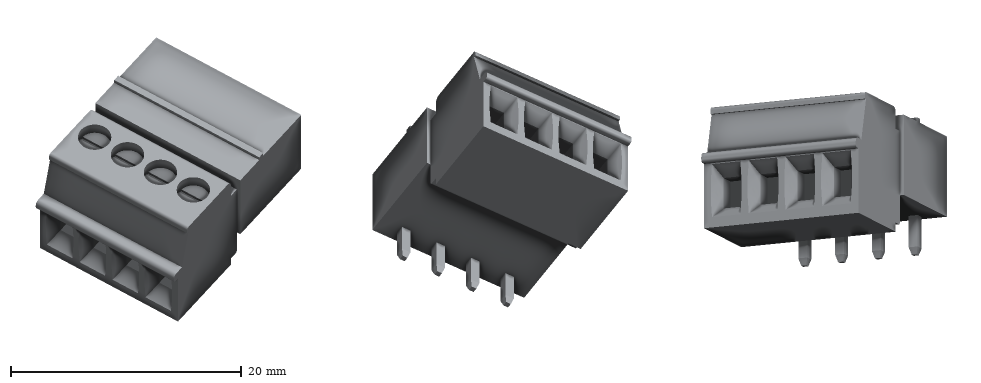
import cadquery as cq


OVERALL_LENGTH = 18.7

POLE_COUNT = 4
POLE_PITCH = 3.5

HEADER_WIDTH = 15.4
HEADER_LENGTH = 9.2
HEADER_BOTTOM = 3.45
HEADER_TOP = 10.6
RIB_FRONT = 2.86
RIB_LENGTH = 0.6
RIB_HEIGHT = 0.35

PIN_SIDE = 0.86
PIN_TIP_SIDE = 0.47
PIN_TIP_LENGTH = 0.64
PIN_SETBACK = 7.98
PIN_ROOT = 0.94

PLUG_WIDTH = 14.68
PLUG_HEIGHT = 11.1
NECK_LENGTH = 0.92
NECK_BOTTOM = 0.8
NECK_TOP = 9.16
NECK_RADIUS = 0.26
TOP_REAR_RADIUS = 0.5
LIP_REACH = 7.52
LIP_RADIUS = 0.3
LIP_BOTTOM = 10.47
SLOPE_TOP_REACH = 7.3
SLOPE_FOOT_REACH = 8.28
LEDGE_REACH = OVERALL_LENGTH - HEADER_LENGTH
LEDGE_TOP = 6.65
LEDGE_BOTTOM = 5.75
LEDGE_TOP_RADIUS = 0.45
LEDGE_BOTTOM_RADIUS = 0.26
FACE_REACH = 8.88

FUNNEL_HEIGHT = 4.73
FUNNEL_WIDTH = 2.7
FUNNEL_BULGE = 0.13
FUNNEL_DEPTH = 1.35
FUNNEL_CENTER_HEIGHT = 3.3
CAVITY_WIDTH = 1.66
CAVITY_HEIGHT = 2.71
CAVITY_DEPTH = 1.5

SCREW_HOLE_DIAMETER = 2.9
SCREW_DIAMETER = 2.8
SCREW_REACH = 3.59
SCREW_RECESS = 1.03
SLOT_WIDTH = 0.35
SLOT_DEPTH = 0.28

pole_xs = [(i - (POLE_COUNT - 1) / 2) * POLE_PITCH for i in range(POLE_COUNT)]


def block(width, y_min, y_max, z_min, z_max, x=0.0):
    """Box centred on x, given by its Y and Z limits."""
    return (
        cq.Workplane("XY")
        .box(width, y_max - y_min, z_max - z_min, centered=(True, False, False))
        .translate((x, y_min, z_min))
    )


def make_header():
    body = block(HEADER_WIDTH, 0, HEADER_LENGTH, HEADER_BOTTOM, HEADER_TOP)
    rib = block(HEADER_WIDTH, RIB_FRONT, RIB_FRONT + RIB_LENGTH, HEADER_TOP, HEADER_TOP + RIB_HEIGHT)
    return body.union(rib)


def make_pin(x):
    """Square pin with a tapered tip, rooted in the header."""
    shank = block(
        PIN_SIDE,
        PIN_SETBACK - PIN_SIDE / 2,
        PIN_SETBACK + PIN_SIDE / 2,
        PIN_TIP_LENGTH,
        HEADER_BOTTOM + PIN_ROOT,
        x,
    )
    tip = (
        cq.Workplane("XY", origin=(x, PIN_SETBACK, 0))
        .rect(PIN_TIP_SIDE, PIN_TIP_SIDE)
        .workplane(offset=PIN_TIP_LENGTH)
        .rect(PIN_SIDE, PIN_SIDE)
        .loft(ruled=True)
    )
    return shank.union(tip)


def make_plug():
    """Side profile in the YZ plane, extruded along X."""
    return (
        cq.Workplane("YZ", origin=(-PLUG_WIDTH / 2, 0, 0))
        .moveTo(-NECK_LENGTH, 0)
        .lineTo(-NECK_LENGTH, NECK_BOTTOM)
        .lineTo(-NECK_RADIUS, NECK_BOTTOM)
        .radiusArc((0, NECK_BOTTOM + NECK_RADIUS), -NECK_RADIUS)
        .lineTo(0, NECK_TOP)
        .lineTo(-NECK_LENGTH, NECK_TOP)
        .lineTo(-NECK_LENGTH, PLUG_HEIGHT - TOP_REAR_RADIUS)
        .radiusArc((-NECK_LENGTH - TOP_REAR_RADIUS, PLUG_HEIGHT), -TOP_REAR_RADIUS)
        .lineTo(-LIP_REACH + LIP_RADIUS, PLUG_HEIGHT)
        .radiusArc((-LIP_REACH, PLUG_HEIGHT - LIP_RADIUS), -LIP_RADIUS)
        .lineTo(-LIP_REACH, LIP_BOTTOM)
        .lineTo(-SLOPE_TOP_REACH, LIP_BOTTOM)
        .lineTo(-SLOPE_FOOT_REACH, LEDGE_TOP)
        .lineTo(-LEDGE_REACH + LEDGE_TOP_RADIUS, LEDGE_TOP)
        .radiusArc((-LEDGE_REACH, LEDGE_TOP - LEDGE_TOP_RADIUS), -LEDGE_TOP_RADIUS)
        .lineTo(-LEDGE_REACH, LEDGE_BOTTOM + LEDGE_BOTTOM_RADIUS)
        .radiusArc((-LEDGE_REACH + LEDGE_BOTTOM_RADIUS, LEDGE_BOTTOM), -LEDGE_BOTTOM_RADIUS)
        .lineTo(-FACE_REACH, LEDGE_BOTTOM)
        .lineTo(-FACE_REACH, 0)
        .close()
        .extrude(PLUG_WIDTH)
    )


def make_wire_entry(x):
    """Funnel with bowed sides at the front face, narrowing to a rectangular cavity."""
    half_width = FUNNEL_WIDTH / 2
    half_height = FUNNEL_HEIGHT / 2
    funnel = (
        cq.Workplane("XZ", origin=(x, -FACE_REACH, FUNNEL_CENTER_HEIGHT))
        .moveTo(-half_width, -half_height)
        .lineTo(half_width, -half_height)
        .threePointArc((half_width + FUNNEL_BULGE, 0), (half_width, half_height))
        .lineTo(-half_width, half_height)
        .threePointArc((-half_width - FUNNEL_BULGE, 0), (-half_width, -half_height))
        .close()
        .workplane(offset=-FUNNEL_DEPTH)
        .rect(CAVITY_WIDTH, CAVITY_HEIGHT)
        .loft(ruled=True)
    )
    funnel_end = -FACE_REACH + FUNNEL_DEPTH
    cavity = block(
        CAVITY_WIDTH,
        funnel_end,
        funnel_end + CAVITY_DEPTH,
        FUNNEL_CENTER_HEIGHT - CAVITY_HEIGHT / 2,
        FUNNEL_CENTER_HEIGHT + CAVITY_HEIGHT / 2,
        x,
    )
    return funnel.union(cavity)


def make_screw_cut(x):
    """Screw hole cut that leaves a slotted screw head standing below the top face."""
    head_top = PLUG_HEIGHT - SCREW_RECESS
    hole_floor = head_top - SLOT_DEPTH
    hole = (
        cq.Workplane("XY", origin=(x, -SCREW_REACH, hole_floor))
        .circle(SCREW_HOLE_DIAMETER / 2)
        .extrude(PLUG_HEIGHT - hole_floor)
    )
    head = (
        cq.Workplane("XY", origin=(x, -SCREW_REACH, hole_floor))
        .circle(SCREW_DIAMETER / 2)
        .extrude(SLOT_DEPTH)
    )
    slot = block(
        SCREW_DIAMETER,
        -SCREW_REACH - SLOT_WIDTH / 2,
        -SCREW_REACH + SLOT_WIDTH / 2,
        hole_floor,
        head_top,
        x,
    )
    return hole.cut(head.cut(slot))


result = make_header().union(make_plug())
for pole_x in pole_xs:
    result = result.union(make_pin(pole_x))
    result = result.cut(make_wire_entry(pole_x))
    result = result.cut(make_screw_cut(pole_x))